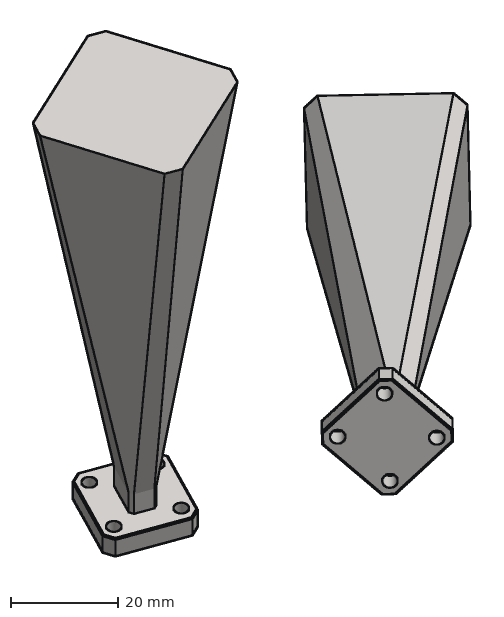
import cadquery as cq

total_height = 107.2
mouth_width = 39.6
mouth_flat = 3.6

neck_x = 9.1
neck_y = 5.6
neck_corner = 0.8
neck_top = 9.9

flange_width = 19.1
flange_height = 4.8
flange_corner = 1.8
flange_edge_chamfer = 0.25
hole_diameter = 2.9
hole_offset_x = 6.3
hole_offset_y = 6.8


def octagon(size_x, size_y, flat_x, flat_y):
    """Corners of a rectangle with its four corners cut off, counterclockwise."""
    x, y = size_x / 2, size_y / 2
    fx, fy = flat_x / 2, flat_y / 2
    return [(-fx, -y), (fx, -y), (x, -fy), (x, fy), (fx, y), (-fx, y), (-x, fy), (-x, -fy)]


def make_flange():
    hole_centres = [(i * hole_offset_x, j * hole_offset_y) for i in (-1, 1) for j in (-1, 1)]
    plate = (
        cq.Workplane("XY")
        .rect(flange_width, flange_width)
        .extrude(flange_height)
        .edges("|Z")
        .chamfer(flange_corner)
        .faces("<Z or >Z")
        .chamfer(flange_edge_chamfer)
    )
    holes = cq.Workplane("XY").pushPoints(hole_centres).circle(hole_diameter / 2).extrude(flange_height)
    return plate.cut(holes)


neck_outline = octagon(neck_x, neck_y, neck_x - 2 * neck_corner, neck_y - 2 * neck_corner)
mouth_outline = octagon(mouth_width, mouth_width, mouth_flat, mouth_flat)

neck = (
    cq.Workplane("XY")
    .workplane(offset=flange_height)
    .polyline(neck_outline)
    .close()
    .extrude(neck_top - flange_height)
)

horn = (
    cq.Workplane("XY")
    .workplane(offset=neck_top)
    .polyline(neck_outline)
    .close()
    .workplane(offset=total_height - neck_top)
    .polyline(mouth_outline)
    .close()
    .loft(ruled=True, combine=True)
)

result = make_flange().union(neck).union(horn)